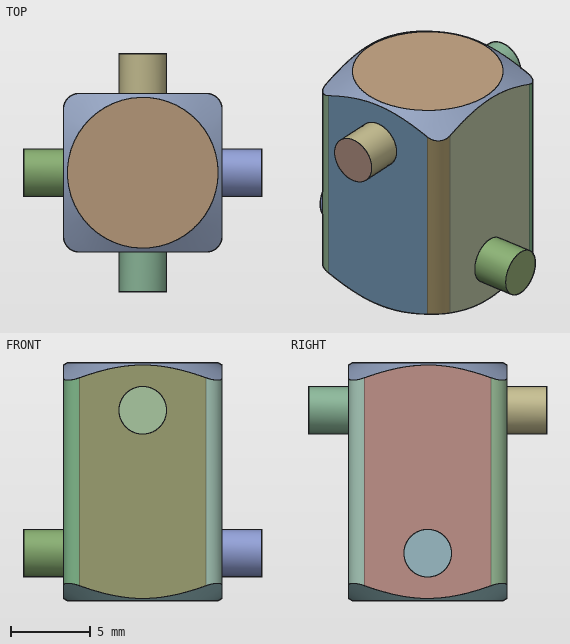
import cadquery as cq
import math

body_height = 15.0
body_width = 10.0
corner_radius = 1.0
end_face_diameter = 9.5
end_cone_angle = 30.0

pin_length = 15.0
pin_diameter = 3.0
pin_offset = 4.5


def turned_envelope():
    """Solid of revolution whose cones trim the corners of both ends."""
    half_height = body_height / 2
    face_radius = end_face_diameter / 2
    outer_radius = body_width / math.sqrt(2)
    cone_drop = (outer_radius - face_radius) * math.tan(math.radians(end_cone_angle))
    shoulder = half_height - cone_drop
    return (
        cq.Workplane("XZ")
        .moveTo(0, -half_height)
        .lineTo(face_radius, -half_height)
        .lineTo(outer_radius, -shoulder)
        .lineTo(outer_radius, shoulder)
        .lineTo(face_radius, half_height)
        .lineTo(0, half_height)
        .close()
        .revolve(360, (0, 0, 0), (0, 1, 0))
    )


def make_body():
    block = cq.Workplane("XY").box(body_width, body_width, body_height)
    return block.edges("|Z").fillet(corner_radius).intersect(turned_envelope())


def make_pin(plane, height):
    """Pin normal to the given plane, centred on the body axis."""
    return (
        cq.Workplane(plane, origin=(0, 0, height))
        .circle(pin_diameter / 2)
        .extrude(pin_length / 2, both=True)
    )


pin_along_x = make_pin("YZ", -pin_offset)
pin_along_y = make_pin("XZ", pin_offset)
result = make_body().union(pin_along_x).union(pin_along_y)